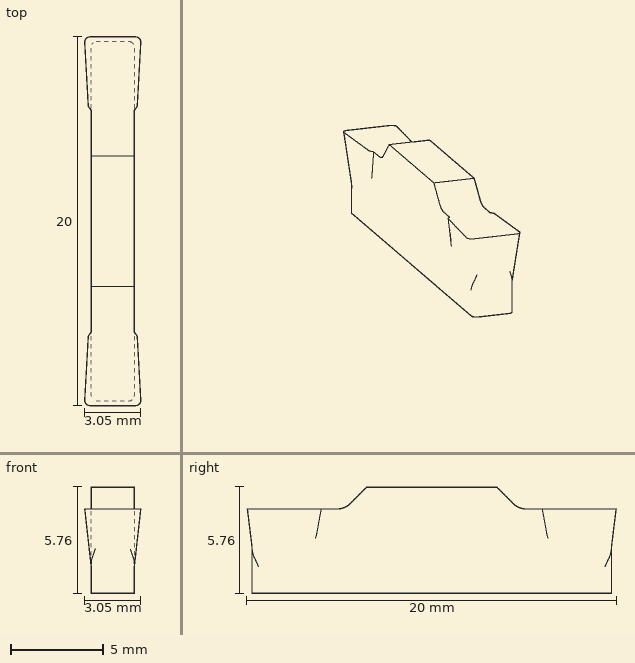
import cadquery as cq
import math

body_length = 19.47
body_width = 2.33
body_height = 5.76
shoulder_height = 4.58
pad_length = 7.05
ramp_angle = 45.0
ramp_foot_radius = 0.95
body_corner_radius = 0.3

overall_length = 19.98
head_width = 3.05
head_corner_radius = 0.3
back_taper = 3.2
side_clearance_angle = 6.0
end_clearance_angle = 7.0
neck_angle = 35.0
neck_start_y = 6.22
neck_radius = 0.18
head_depth = 3.8
root_half_width = 0.7
blank_margin = 1.0
neck_pick_range = 0.4


def make_body():
    """Bar with a raised central pad, ramps down to the shoulders and rounded end corners."""
    angle = math.radians(ramp_angle)
    foot_run = ramp_foot_radius * math.sin(angle)
    foot_rise = ramp_foot_radius * (1 - math.cos(angle))
    mid_run = ramp_foot_radius * math.sin(angle / 2)
    mid_rise = ramp_foot_radius * (1 - math.cos(angle / 2))

    half_length = body_length / 2
    pad_end = pad_length / 2
    ramp_end_z = shoulder_height + foot_rise
    ramp_end = pad_end + (body_height - ramp_end_z) / math.tan(angle)
    foot_end = ramp_end + foot_run
    foot_mid = (foot_end - mid_run, shoulder_height + mid_rise)

    half_profile = (
        cq.Workplane("YZ")
        .moveTo(0, 0)
        .lineTo(half_length, 0)
        .lineTo(half_length, shoulder_height)
        .lineTo(foot_end, shoulder_height)
        .threePointArc(foot_mid, (ramp_end, ramp_end_z))
        .lineTo(pad_end, body_height)
        .lineTo(0, body_height)
        .close()
    )
    half = half_profile.extrude(body_width / 2, both=True)
    body = half.union(half.mirror("XZ")).clean()
    end_corners = body.faces("<Y or >Y").edges("|Z")
    return end_corners.fillet(body_corner_radius)


def make_head():
    """Head at the +Y end: tapered plan outline, leaning flanks and end face, rounded corners."""
    end_y = overall_length / 2
    taper = math.tan(math.radians(back_taper))
    widest_y = end_y - head_corner_radius
    widest_x = head_width / 2
    blank_y = end_y + blank_margin
    blank_x = widest_x + (blank_y - widest_y) * taper
    neck_x = widest_x - (widest_y - neck_start_y) * taper
    neck_run = (neck_x - root_half_width) / math.tan(math.radians(neck_angle))
    root_y = neck_start_y - neck_run

    plan_outline = [
        (-blank_x, blank_y),
        (blank_x, blank_y),
        (neck_x, neck_start_y),
        (root_half_width, root_y),
        (-root_half_width, root_y),
        (-neck_x, neck_start_y),
    ]
    blank = (
        cq.Workplane("XY")
        .polyline(plan_outline)
        .close()
        .extrude(head_depth, taper=side_clearance_angle)
        .mirror("XY")
        .translate((0, 0, shoulder_height))
    )

    bottom_z = shoulder_height - head_depth
    bottom_end_y = end_y - head_depth * math.tan(math.radians(end_clearance_angle))
    side_profile = [
        (0, bottom_z),
        (bottom_end_y, bottom_z),
        (end_y, shoulder_height),
        (0, shoulder_height),
    ]
    trim = cq.Workplane("YZ").polyline(side_profile).close().extrude(blank_x, both=True)
    head = blank.intersect(trim)

    head = head.faces(">Y").edges("not #Z").fillet(head_corner_radius)
    neck_zone = cq.selectors.BoxSelector(
        (-blank_x, neck_start_y - neck_pick_range, bottom_z),
        (blank_x, neck_start_y + neck_pick_range, shoulder_height),
    )
    return head.edges(neck_zone).edges("not #Z").fillet(neck_radius)


body = make_body()
head = make_head()
result = body.union(head).union(head.mirror("XZ"))